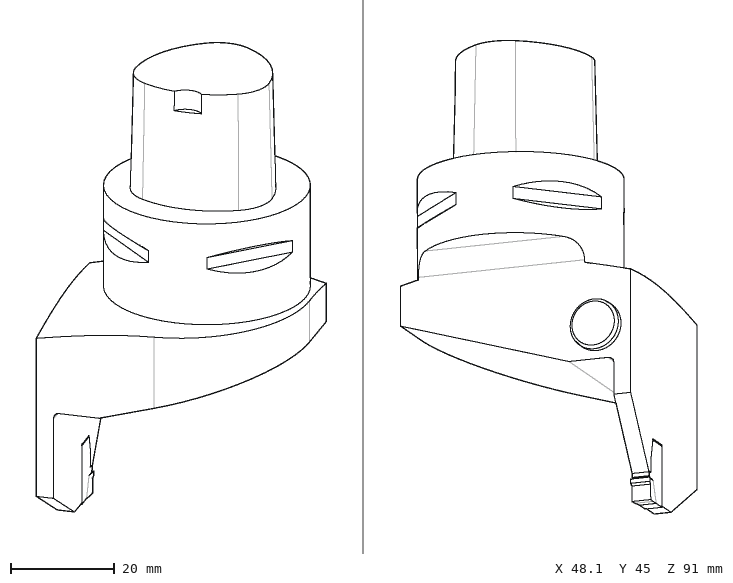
import cadquery as cq
import math


shank_length = 24.0
shank_tip_reach = 15.0
shank_flat_reach = 13.15
shank_tip_radius = 8.4
shank_taper = math.degrees(math.atan(1 / 40))
key_radius = 3.4
key_centre_y = -14.4
key_depth = 4.0

flange_radius = 20.0
flange_base_z = -21.0
slot_z = -8.2
slot_floor_reach = 17.7
slot_floor_width = 2.4
slot_wall_angle = 32.0
slot_count = 4

back_y = 10.15
relief_z = -16.0
relief_slope = 3.0
relief_radius = 4.0

side_x = -26.8
head_right_x = 21.0
front_y = -25.0
corner_radius = 24.0
shoulder_angle = 15.0
head_base_z = -40.6
ramp_start_x = -14.0
ramp_angle = 17.0
blade_thickness = 3.5
blade_root_radius = 1.2
blade_base_z = -66.6
blade_back_z = -48.1
blade_front_z = -58.4
blade_front_foot_y = -11.2
nose_y = 0.5
nose_top_z = -61.5
nose_base_z = -62.3

screw_radius = 5.0
screw_x = -19.8
screw_z = -34.0
screw_height = 2.0
screw_chamfer = 0.6

insert_front_y = -6.35
insert_top_z = -54.6
insert_base_z = -66.85
insert_top_gap = 0.25
insert_top_back_y = -1.6
insert_back_y = -0.65
insert_bend_z = -58.4
insert_step_z = -61.3
rake_y = 0.1
lip_y = 0.7
lip_top_z = -62.65
lip_base_z = -63.5
lip_foot_z = -63.9
tip_z = -67.0
tip_front_y = -1.3
edge_overhang = 0.26
flank_top_y = -1.7
flank_base_y = -3.4

reach = 100.0


def polar(radius, angle):
    return (radius * math.cos(math.radians(angle)), radius * math.sin(math.radians(angle)))


def side_profile(points, x_start, thickness):
    """Prism along X from an outline of (y, z) points."""
    return cq.Workplane("YZ", origin=(x_start, 0, 0)).polyline(points).close().extrude(thickness)


def make_shank():
    """Rounded three-sided taper: three tip arcs tangent to three shallow arcs."""
    tip_offset = shank_tip_reach - shank_tip_radius
    flat_radius = (
        shank_flat_reach**2 + tip_offset**2 - shank_flat_reach * tip_offset - shank_tip_radius**2
    ) / (2 * shank_flat_reach - 2 * shank_tip_radius - tip_offset)
    flat_offset = flat_radius - shank_flat_reach
    half_angle = math.degrees(math.atan2(
        flat_offset * math.sin(math.radians(60)),
        tip_offset + flat_offset * math.cos(math.radians(60)),
    ))

    def arc_end(tip_angle, side):
        centre_x, centre_y = polar(tip_offset, tip_angle)
        end_x, end_y = polar(shank_tip_radius, tip_angle + side * half_angle)
        return (centre_x + end_x, centre_y + end_y)

    outline = cq.Workplane("XY").moveTo(*arc_end(90, -1))
    for tip_angle in (90, 210, 330):
        outline = outline.threePointArc(polar(shank_tip_reach, tip_angle), arc_end(tip_angle, 1))
        next_start = arc_end(tip_angle + 120, -1)
        outline = outline.threePointArc(polar(shank_flat_reach, tip_angle + 60), next_start)
    shank = outline.close().extrude(shank_length, taper=shank_taper)
    key = (
        cq.Workplane("XY", origin=(0, key_centre_y, shank_length - key_depth))
        .circle(key_radius)
        .extrude(key_depth)
    )
    return shank.cut(key)


def make_flange():
    return cq.Workplane("XY", origin=(0, 0, flange_base_z)).circle(flange_radius).extrude(-flange_base_z)


def make_slots():
    """Straight gripper slots with sloped walls, on the diagonals of the flange."""
    depth = flange_radius - slot_floor_reach
    floor_half = slot_floor_width / 2
    mouth_half = floor_half + depth * math.tan(math.radians(slot_wall_angle))
    section = [
        (slot_floor_reach, slot_z - floor_half),
        (flange_radius, slot_z - mouth_half),
        (flange_radius, slot_z + mouth_half),
        (slot_floor_reach, slot_z + floor_half),
    ]
    slot = cq.Workplane("XZ").polyline(section).close().extrude(flange_radius, both=True)
    slots = cq.Workplane("XY")
    for index in range(slot_count):
        slots = slots.add(slot.rotate((0, 0, 0), (0, 0, 1), 45 + index * 360 / slot_count))
    return slots.combine()


def make_relief():
    """Space behind the back face, with a rounded inner corner under the flange."""
    rear_y = flange_radius + relief_radius
    drop = (rear_y - back_y) * math.tan(math.radians(relief_slope))
    outline = [(back_y, relief_z - drop), (rear_y, relief_z), (rear_y, -reach), (back_y, -reach)]
    corner = cq.selectors.NearestToPointSelector((0, back_y, relief_z - drop))
    return side_profile(outline, -reach / 2, reach).edges("|X").edges(corner).fillet(relief_radius)


def make_head():
    """Head and blade: plan outline, conical shoulder, underside and side outline combined."""
    plan = (
        cq.Workplane("XY", origin=(0, 0, -reach))
        .moveTo(side_x, back_y)
        .lineTo(side_x, front_y)
        .lineTo(head_right_x - corner_radius, front_y)
        .radiusArc((head_right_x, front_y + corner_radius), -corner_radius)
        .lineTo(head_right_x, back_y)
        .close()
        .extrude(reach)
    )
    cone_drop = (reach - flange_radius) * math.tan(math.radians(shoulder_angle))
    shoulder = (
        cq.Workplane("XZ")
        .polyline([
            (0, flange_base_z),
            (flange_radius, flange_base_z),
            (reach, flange_base_z - cone_drop),
            (reach, -reach),
            (0, -reach),
        ])
        .close()
        .revolve(360, (0, 0, 0), (0, 1, 0))
    )
    blade_x = side_x + blade_thickness
    ramp_rise = (reach - ramp_start_x) * math.tan(math.radians(ramp_angle))
    underside = (
        cq.Workplane("XZ")
        .polyline([
            (blade_x, -reach),
            (blade_x, head_base_z),
            (ramp_start_x, head_base_z),
            (reach, head_base_z + ramp_rise),
            (reach, -reach),
        ])
        .close()
        .extrude(reach, both=True)
        .edges(cq.selectors.NearestToPointSelector((blade_x, 0, head_base_z)))
        .fillet(blade_root_radius)
    )
    side = side_profile(
        [
            (back_y, 0),
            (back_y, blade_back_z),
            (nose_y, nose_top_z),
            (nose_y, nose_base_z),
            (insert_front_y, nose_base_z),
            (insert_front_y, blade_base_z),
            (blade_front_foot_y, blade_base_z),
            (front_y, blade_front_z),
            (front_y, 0),
        ],
        side_x,
        head_right_x - side_x,
    )
    return plan.intersect(shoulder).intersect(side).cut(underside)


def make_screw_head():
    return (
        cq.Workplane("XZ", origin=(screw_x, back_y, screw_z))
        .circle(screw_radius)
        .extrude(-screw_height)
        .faces(">Y")
        .chamfer(screw_chamfer)
    )


def make_insert():
    """Flat shank of the insert plus a cutting head whose flanks taper towards the front."""
    shank = side_profile(
        [
            (insert_front_y, insert_top_z),
            (insert_top_back_y, insert_top_z),
            (insert_back_y, insert_bend_z),
            (insert_back_y, insert_step_z),
            (rake_y, insert_step_z),
            (rake_y, insert_base_z),
            (insert_front_y, insert_base_z),
        ],
        side_x,
        blade_thickness,
    )

    def head_section(z, back, flank):
        outline = [
            (side_x - edge_overhang, back),
            (side_x, flank),
            (side_x + blade_thickness, flank),
            (side_x + blade_thickness + edge_overhang, back),
        ]
        points = [cq.Vector(x, y, z) for x, y in outline]
        return cq.Wire.makePolygon(points, close=True)

    sections = [
        head_section(lip_top_z, lip_y, flank_top_y),
        head_section(tip_z, lip_y, flank_base_y),
    ]
    tapered = cq.Workplane(cq.Solid.makeLoft(sections, True))
    head_side = side_profile(
        [
            (flank_base_y, lip_top_z),
            (lip_y, lip_top_z),
            (lip_y, lip_base_z),
            (rake_y, lip_foot_z),
            (rake_y, tip_z),
            (tip_front_y, tip_z),
            (flank_base_y, insert_base_z),
        ],
        -reach,
        reach,
    )
    return shank.union(tapered.intersect(head_side))


def make_pocket_gap():
    """Thin clearance in the blade above the top face of the insert."""
    roof_z = insert_top_z + insert_top_gap
    outline = [
        (insert_front_y, insert_top_z),
        (insert_front_y, roof_z),
        (insert_top_back_y, roof_z),
        (insert_top_back_y, insert_top_z),
    ]
    return side_profile(outline, side_x, blade_thickness)


insert = make_insert()
holder = (
    make_flange()
    .cut(make_slots())
    .union(make_head())
    .cut(make_relief())
    .union(make_shank())
    .union(make_screw_head())
    .cut(insert)
    .cut(make_pocket_gap())
)

result = cq.Compound.makeCompound([holder.solids().val(), insert.solids().val()])